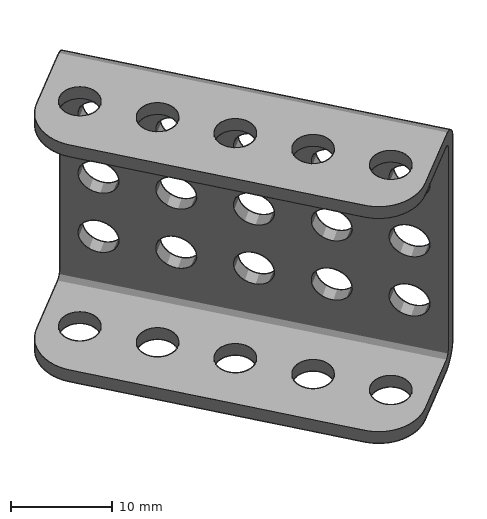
import cadquery as cq

length = 40.0
depth = 14.3
height = 32.0
thickness = 1.6
inner_bend_radius = 0.8
flange_corner_radius = 4.8
hole_diameter = 4.2
hole_pitch = 8.0
holes_per_row = 5
web_rows = 3

outer_bend_radius = inner_bend_radius + thickness
back_y = depth / 2
flange_hole_y = back_y - hole_pitch


def bent_channel():
    """U channel with its web at +Y and its two flanges reaching toward -Y."""
    outer = (
        cq.Workplane("XY")
        .box(length, depth, height)
        .edges("|X and >Y")
        .fillet(outer_bend_radius)
    )
    inner = (
        cq.Workplane("XY")
        .box(length, depth, height - 2 * thickness)
        .translate((0, -thickness, 0))
        .edges("|X and >Y")
        .fillet(inner_bend_radius)
    )
    return outer.cut(inner)


def web_holes():
    """Grid of hole cutters running along Y through the web."""
    return (
        cq.Workplane("XZ", origin=(0, back_y, 0))
        .rarray(hole_pitch, hole_pitch, holes_per_row, web_rows)
        .circle(hole_diameter / 2)
        .extrude(thickness)
    )


def flange_holes():
    """Row of hole cutters running along Z through both flanges."""
    return (
        cq.Workplane("XY", origin=(0, flange_hole_y, -height / 2))
        .rarray(hole_pitch, 0.4, holes_per_row, 1)
        .circle(hole_diameter / 2)
        .extrude(height)
    )


channel = bent_channel().edges("|Z and <Y").fillet(flange_corner_radius)
result = channel.cut(web_holes()).cut(flange_holes())